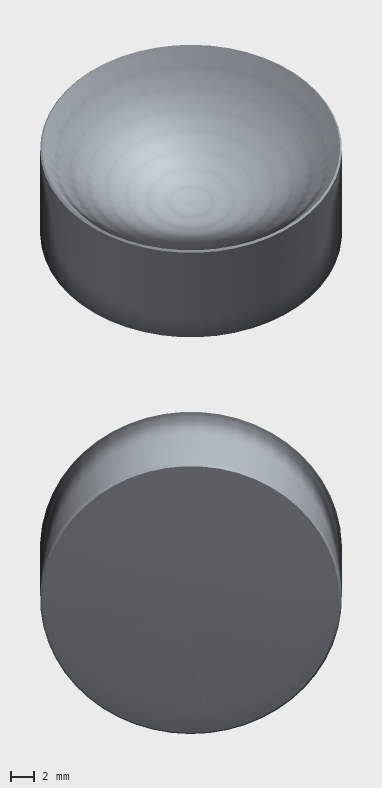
import cadquery as cq
import math

diameter = 25.4
height = 10.41
top_bevel = 0.15
bottom_bevel = 0.2
top_curve_radius = 15.5
bottom_bulge = 0.25

radius = diameter / 2
top_rim_radius = radius - top_bevel
bottom_rim_radius = radius - bottom_bevel


def sag(curve_radius, rim_radius):
    """Depth of a spherical cap with the given rim."""
    return curve_radius - math.sqrt(curve_radius**2 - rim_radius**2)


bottom_curve_radius = (bottom_rim_radius**2 + bottom_bulge**2) / (2 * bottom_bulge)
bowl_floor = height - sag(top_curve_radius, top_rim_radius)
mid_radius = radius / 2

profile = (
    cq.Workplane("XZ")
    .moveTo(0, 0)
    .threePointArc(
        (mid_radius, sag(bottom_curve_radius, mid_radius)),
        (bottom_rim_radius, bottom_bulge),
    )
    .lineTo(radius, bottom_bulge + bottom_bevel)
    .lineTo(radius, height - top_bevel)
    .lineTo(top_rim_radius, height)
    .threePointArc(
        (mid_radius, bowl_floor + sag(top_curve_radius, mid_radius)),
        (0, bowl_floor),
    )
    .close()
)

result = profile.revolve(360, (0, 0, 0), (0, 1, 0))